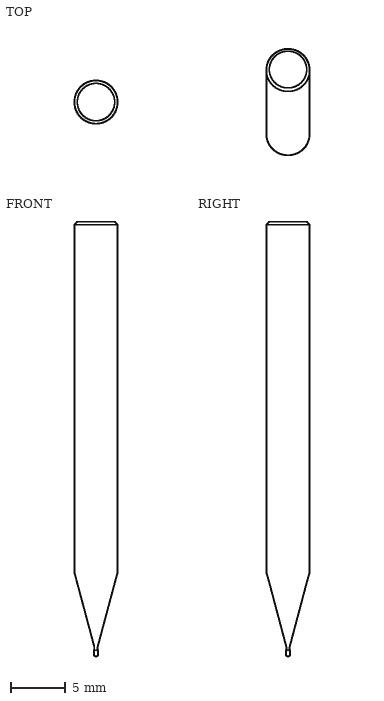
import cadquery as cq
import math

total_length = 40.0
shank_radius = 2.0

bevel_height = 0.3
bevel_width = 0.3

head_radius = 0.2
head_length = 0.6

neck_radius = 0.15
neck_top = 0.9
cone_half_angle = 15.0
cone_height = (shank_radius - neck_radius) / math.tan(math.radians(cone_half_angle))
cone_top = neck_top + cone_height


def revolve_about_z(profile):
    """Turn a closed radius-height profile on the XZ plane into a round body."""
    return profile.close().revolve(360, (0, 0, 0), (0, 1, 0))


def make_shank():
    """Bevelled cylinder, tapering cone and neck, resting on the cutting head."""
    profile = (
        cq.Workplane("XZ")
        .moveTo(0, head_length)
        .lineTo(neck_radius, head_length)
        .lineTo(neck_radius, neck_top)
        .lineTo(shank_radius, cone_top)
        .lineTo(shank_radius, total_length - bevel_height)
        .lineTo(shank_radius - bevel_width, total_length)
        .lineTo(0, total_length)
    )
    return revolve_about_z(profile)


def make_cutting_head():
    """Short cylinder with a hemispherical lower end."""
    arc_offset = head_radius * math.sqrt(0.5)
    profile = (
        cq.Workplane("XZ")
        .moveTo(0, 0)
        .threePointArc((arc_offset, head_radius - arc_offset), (head_radius, head_radius))
        .lineTo(head_radius, head_length)
        .lineTo(0, head_length)
    )
    return revolve_about_z(profile)


shank = make_shank()
cutting_head = make_cutting_head()

result = cq.Compound.makeCompound([shank.val(), cutting_head.val()])